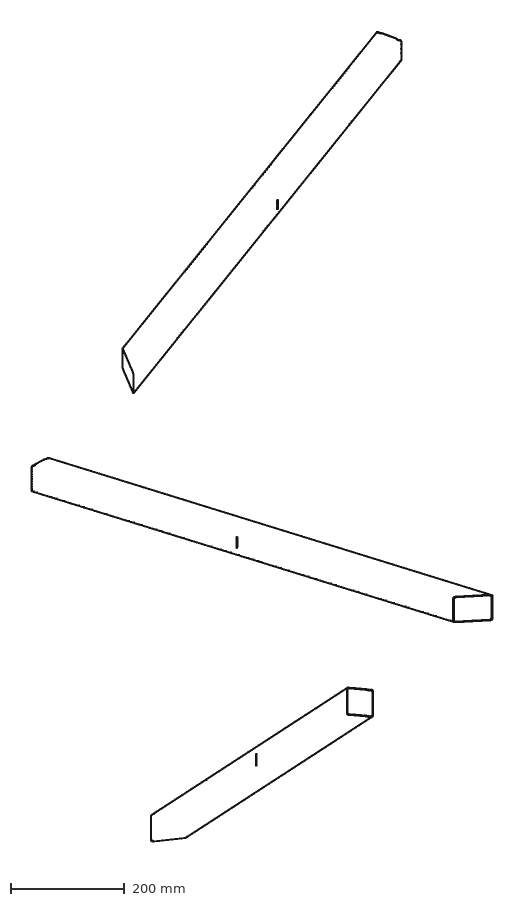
import cadquery as cq

length = 980.0
side = 50.0
wall = 2.0
corner_radius = 4.0
inner_side = side - 2 * wall
inner_radius = corner_radius - wall

slot_height = 21.0
slot_width = 2.0
slot_y = 37.0

notch_width = 5.0
notch_depth = 2.0
notch_x = 19.0


def square_bar(width, radius):
    """Bar of the full length with rounded long edges, centred on the origin."""
    return cq.Workplane("XY").box(width, length, width).edges("|Y").fillet(radius)


def mitre_wedge():
    """Corner removed so that the -X wall is shorter than the +X wall by one side."""
    left = -side / 2
    front = -length / 2
    return (
        cq.Workplane("XY")
        .workplane(offset=-side / 2)
        .polyline([(left, front), (left + side, front), (left, front + side)])
        .close()
        .extrude(side)
    )


def side_slot():
    """Cutter that crosses the whole tube along X at mid height."""
    return cq.Workplane("XY").box(side, slot_width, slot_height).translate((0, slot_y, 0))


def end_notches():
    """Two upright cutters at the square end, each crossing the top and bottom walls."""
    return (
        cq.Workplane("XY")
        .pushPoints([(x, (length - notch_depth) / 2) for x in (-notch_x, notch_x)])
        .box(notch_width, notch_depth, side)
    )


tube = square_bar(side, corner_radius).cut(square_bar(inner_side, inner_radius))
result = tube.cut(mitre_wedge()).cut(side_slot()).cut(end_notches())